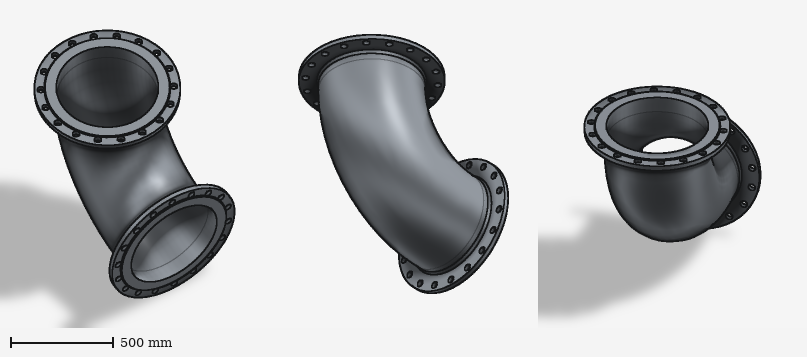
import cadquery as cq

overall_length = 957.5
flange_diameter = 715.0
pipe_diameter = 524.0
bore_diameter = 500.0

raised_face_height = 6.0
flange_thickness = 26.0
neck_length = 18.0
straight_length = 32.0

raised_face_top_diameter = 609.0
raised_face_base_diameter = 619.0
neck_diameter = 538.0

bolt_count = 18
bolt_hole_diameter = 34.0
bolt_circle_diameter = 650.0
bolt_angle_offset = 1.1

axis_offset = flange_diameter / 2
end_length = raised_face_height + flange_thickness + neck_length + straight_length
bend_radius = overall_length - axis_offset - end_length


def flanged_end():
    """Flanged end with its sealing face at the origin and its body along -Z."""
    flange_top = -raised_face_height
    flange_bottom = flange_top - flange_thickness
    neck_bottom = flange_bottom - neck_length
    profile = [
        (bore_diameter / 2, 0),
        (raised_face_top_diameter / 2, 0),
        (raised_face_base_diameter / 2, flange_top),
        (flange_diameter / 2, flange_top),
        (flange_diameter / 2, flange_bottom),
        (neck_diameter / 2, flange_bottom),
        (pipe_diameter / 2, neck_bottom),
        (pipe_diameter / 2, -end_length),
        (bore_diameter / 2, -end_length),
    ]
    body = cq.Workplane("XZ").polyline(profile).close().revolve(360, (0, 0), (0, 1))
    holes = (
        cq.Workplane("XY")
        .polarArray(bolt_circle_diameter / 2, -bolt_angle_offset, 360, bolt_count)
        .circle(bolt_hole_diameter / 2)
        .extrude(flange_bottom)
    )
    return body.cut(holes)


def bend():
    """Quarter-turn pipe from the upper end to the side end."""
    path = (
        cq.Workplane("XZ")
        .moveTo(axis_offset, overall_length - end_length)
        .radiusArc((overall_length - end_length, axis_offset), -bend_radius)
    )
    return (
        cq.Workplane("XY", origin=(axis_offset, 0, overall_length - end_length))
        .circle(pipe_diameter / 2)
        .circle(bore_diameter / 2)
        .sweep(path)
    )


upper_end = flanged_end().translate((axis_offset, 0, overall_length))

side_end = (
    flanged_end()
    .rotate((0, 0, 0), (0, 0, 1), 2 * bolt_angle_offset)
    .rotate((0, 0, 0), (0, 1, 0), 90)
    .translate((overall_length, 0, axis_offset))
)

result = bend().union(upper_end).union(side_end)